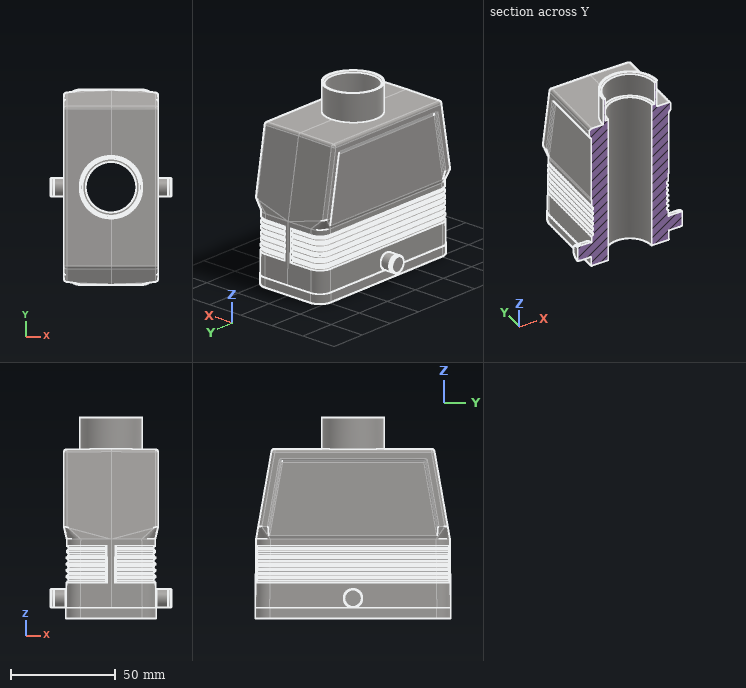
import cadquery as cq
import math

TOLERANCE = 1e-3

RIM_HEIGHT = 5.4
SHOULDER_Z = 38.2
FLARE_HEIGHT = 6.0
FLARE_Z = SHOULDER_Z + FLARE_HEIGHT
BODY_TOP_Z = 81.25
ENTRY_HEIGHT = 15.0

RIM_X = 43.3
RIM_Y = 93.5
RIM_CORNER_RADIUS = 7.0
RIM_CHAMFER = 0.4

RIM_LEDGE = 0.2
SKIRT_BASE_HALF_X = RIM_X / 2 - RIM_LEDGE
SKIRT_BASE_HALF_Y = RIM_Y / 2
SKIRT_TOP_HALF_X = 21.2
SKIRT_TOP_HALF_Y = 46.35
SKIRT_CORNER_RADIUS = 6.7
SKIRT_CROWN = math.radians(0.5)

UPPER_HALF_X = 22.6
END_LEAN = math.tan(math.radians(10.0))
END_CROWN = math.radians(0.25)
TOP_CROWN = math.radians(0.5)
UPPER_EDGE_RADIUS = 1.5

GROOVE_COUNT = 6
GROOVE_PITCH = 3.0
GROOVE_START_Z = 17.4
GROOVE_WIDTH = 2.6
GROOVE_FLANK = 0.9
GROOVE_DEPTH = 0.9
RIB_WIDTH = 3.2
RIB_ROOT_WIDTH = 5.0
RIB_REACH = 3.0

PANEL_DEPTH = 1.0
PANEL_TOP_Z = 76.3
PANEL_TOP_HALF_Y = 34.9
PANEL_CORNER_RADIUS = 0.8
PANEL_BLEND_RADIUS = 1.0

ENTRY_RADIUS = 15.0
ENTRY_SEAT_RADIUS = 13.6
ENTRY_MOUTH_CHAMFER = 0.8
ENTRY_SEAT_DEPTH = 13.3
BORE_RADIUS = 12.0

PIN_SPAN = 58.0
PIN_RADIUS = 4.5
PIN_Z = 9.9
PIN_CHAMFER = 0.4
PIN_GROOVE_SETBACK = 1.4
PIN_GROOVE_WIDTH = 0.4
PIN_GROOVE_DEPTH = 0.1


def crowned_outline(z, half_x, half_y, radius):
    """Rounded rectangle at height z whose ends rise to a shallow ridge at X = 0."""
    center_x = half_x - radius
    center_y = half_y - center_x * math.tan(SKIRT_CROWN) - radius / math.cos(SKIRT_CROWN)
    middle = (math.pi / 2 - SKIRT_CROWN) / 2
    side = (half_x, center_y)
    bend = (center_x + radius * math.cos(middle), center_y + radius * math.sin(middle))
    end = (center_x + radius * math.sin(SKIRT_CROWN), center_y + radius * math.cos(SKIRT_CROWN))

    def at(point, sign_x, sign_y):
        return (sign_x * point[0], sign_y * point[1])

    return (
        cq.Workplane("XY", origin=(0, 0, z))
        .moveTo(*at(side, 1, -1))
        .lineTo(*at(side, 1, 1))
        .threePointArc(at(bend, 1, 1), at(end, 1, 1))
        .lineTo(0, half_y)
        .lineTo(*at(end, -1, 1))
        .threePointArc(at(bend, -1, 1), at(side, -1, 1))
        .lineTo(*at(side, -1, -1))
        .threePointArc(at(bend, -1, -1), at(end, -1, -1))
        .lineTo(0, -half_y)
        .lineTo(*at(end, 1, -1))
        .threePointArc(at(bend, 1, -1), at(side, 1, -1))
        .close()
        .val()
    )


def skirt_outline(z, inset=0.0):
    """Outline of the drafted skirt at height z, moved inward by inset."""
    rise = (z - RIM_HEIGHT) / (SHOULDER_Z - RIM_HEIGHT)
    half_x = SKIRT_BASE_HALF_X + rise * (SKIRT_TOP_HALF_X - SKIRT_BASE_HALF_X)
    half_y = SKIRT_BASE_HALF_Y + rise * (SKIRT_TOP_HALF_Y - SKIRT_BASE_HALF_Y)
    return crowned_outline(z, half_x - inset, half_y - inset, SKIRT_CORNER_RADIUS - inset)


def ruled_loft(outlines):
    return cq.Workplane(cq.Solid.makeLoft(outlines, True))


def upper_half_y(z):
    """Half length of the upper body at the ridge of its leaning ends."""
    return SKIRT_TOP_HALF_Y - (z - SHOULDER_Z) * END_LEAN


def make_rim():
    return (
        cq.Workplane("XY")
        .rect(RIM_X, RIM_Y)
        .extrude(RIM_HEIGHT)
        .edges("|Z")
        .fillet(RIM_CORNER_RADIUS)
        .faces("<Z")
        .edges()
        .chamfer(RIM_CHAMFER)
    )


def make_skirt():
    outlines = [skirt_outline(RIM_HEIGHT)]
    for index in range(GROOVE_COUNT):
        bottom = GROOVE_START_Z + index * GROOVE_PITCH
        top = bottom + GROOVE_WIDTH
        outlines.append(skirt_outline(bottom))
        outlines.append(skirt_outline(bottom + GROOVE_FLANK, GROOVE_DEPTH))
        outlines.append(skirt_outline(top - GROOVE_FLANK, GROOVE_DEPTH))
        outlines.append(skirt_outline(top))
    outlines.append(skirt_outline(SHOULDER_Z))
    return ruled_loft(outlines).union(make_end_ribs())


def make_end_ribs():
    """Upright ribs that fill the grooves in the middle of both ends."""
    smooth_skirt = ruled_loft([skirt_outline(RIM_HEIGHT), skirt_outline(SHOULDER_Z)])
    outer_y = SKIRT_BASE_HALF_Y
    root_y = outer_y - GROOVE_DEPTH
    inner_y = outer_y - RIB_REACH
    groove_end_z = GROOVE_START_Z + (GROOVE_COUNT - 1) * GROOVE_PITCH + GROOVE_WIDTH
    rib = (
        cq.Workplane("XY", origin=(0, 0, GROOVE_START_Z))
        .moveTo(RIB_WIDTH / 2, outer_y)
        .lineTo(RIB_ROOT_WIDTH / 2, root_y)
        .lineTo(RIB_ROOT_WIDTH / 2, inner_y)
        .lineTo(-RIB_ROOT_WIDTH / 2, inner_y)
        .lineTo(-RIB_ROOT_WIDTH / 2, root_y)
        .lineTo(-RIB_WIDTH / 2, outer_y)
        .close()
        .extrude(groove_end_z - GROOVE_START_Z)
    )
    return smooth_skirt.intersect(rib.union(rib.mirror("XZ")))


def make_upper_profile():
    """Front profile of the upper body: V-shaped underside and slightly roofed top, longer than the part."""
    roof_edge_z = BODY_TOP_Z - UPPER_HALF_X * math.tan(TOP_CROWN)
    return (
        cq.Workplane("XZ")
        .moveTo(0, SHOULDER_Z)
        .lineTo(UPPER_HALF_X, FLARE_Z)
        .lineTo(UPPER_HALF_X, roof_edge_z)
        .lineTo(0, BODY_TOP_Z)
        .lineTo(-UPPER_HALF_X, roof_edge_z)
        .lineTo(-UPPER_HALF_X, FLARE_Z)
        .close()
        .extrude(RIM_Y, both=True)
    )


def make_flare():
    """Transition from the rounded skirt to the wider, sharper upper body, below its V-shaped underside.

    The ends of flare and upper body meet at the ridge and at the corners of the V.
    """
    corner_gain = UPPER_HALF_X * (math.tan(SKIRT_CROWN) - math.tan(END_CROWN))
    top_half_y = upper_half_y(FLARE_Z) + corner_gain
    flare = ruled_loft([
        skirt_outline(SHOULDER_Z),
        crowned_outline(FLARE_Z, UPPER_HALF_X, top_half_y, UPPER_EDGE_RADIUS),
    ])
    return flare.cut(make_upper_profile())


def make_upper_body():
    """Leaning-ended block whose underside is a V meeting the shoulder at X = 0."""
    edge_drop = UPPER_HALF_X * math.tan(END_CROWN)

    def sharp_outline(z):
        ridge = upper_half_y(z)
        corner = ridge - edge_drop
        return cq.Wire.makePolygon(
            [
                cq.Vector(UPPER_HALF_X, -corner, z),
                cq.Vector(UPPER_HALF_X, corner, z),
                cq.Vector(0, ridge, z),
                cq.Vector(-UPPER_HALF_X, corner, z),
                cq.Vector(-UPPER_HALF_X, -corner, z),
                cq.Vector(0, -ridge, z),
            ],
            close=True,
        )

    block = ruled_loft([sharp_outline(SHOULDER_Z), sharp_outline(BODY_TOP_Z)])
    block = block.intersect(make_upper_profile())

    def is_outer_edge(edge):
        box = edge.BoundingBox()
        on_ridge = box.xlen < TOLERANCE and abs(edge.Center().x) < TOLERANCE
        return box.zmax > FLARE_Z + TOLERANCE and not on_ridge

    outer_edges = [edge for edge in block.edges().vals() if is_outer_edge(edge)]
    return block.newObject(outer_edges).fillet(UPPER_EDGE_RADIUS)


def panel_outline(x, inset):
    """Panel border in the plane at x; it widens downward with the leaning ends."""
    top_z = PANEL_TOP_Z - inset
    side_inset = inset / math.cos(math.atan(END_LEAN))
    top_y = PANEL_TOP_HALF_Y + inset * END_LEAN - side_inset
    bottom_y = top_y + (top_z - SHOULDER_Z) * END_LEAN
    return cq.Wire.makePolygon(
        [
            cq.Vector(x, -bottom_y, SHOULDER_Z),
            cq.Vector(x, -top_y, top_z),
            cq.Vector(x, top_y, top_z),
            cq.Vector(x, bottom_y, SHOULDER_Z),
        ],
        close=True,
    )


def make_panel_cutter():
    """Solid that sinks the panel of the -X side, with sloping walls that blend into its floor."""
    floor_x = -UPPER_HALF_X + PANEL_DEPTH
    outer_x = -UPPER_HALF_X - PANEL_DEPTH
    cutter = ruled_loft([panel_outline(outer_x, -PANEL_DEPTH), panel_outline(floor_x, PANEL_DEPTH)])

    def is_wall_corner(edge):
        box = edge.BoundingBox()
        return box.xlen > PANEL_DEPTH and box.zmin > FLARE_Z

    corners = [edge for edge in cutter.edges().vals() if is_wall_corner(edge)]
    cutter = cutter.newObject(corners).fillet(PANEL_CORNER_RADIUS)
    floor_border = [edge for edge in cutter.faces(">X").edges().vals() if edge.Center().z > FLARE_Z]
    return cutter.newObject(floor_border).fillet(PANEL_BLEND_RADIUS)


def sink_side_panels(body):
    """Cut both side panels and round the brink of their walls."""
    cutter = make_panel_cutter()
    body = body.cut(cutter).cut(cutter.mirror("YZ"))
    brink_limit_y = upper_half_y(FLARE_Z) - 2 * UPPER_EDGE_RADIUS

    def is_brink(edge):
        box = edge.BoundingBox()
        center = edge.Center()
        on_side = box.xlen < TOLERANCE and abs(abs(center.x) - UPPER_HALF_X) < TOLERANCE
        in_height = FLARE_Z + TOLERANCE < box.zmax < PANEL_TOP_Z + TOLERANCE
        return on_side and in_height and abs(center.y) < brink_limit_y

    brink = [edge for edge in body.edges().vals() if is_brink(edge)]
    return body.newObject(brink).fillet(PANEL_BLEND_RADIUS)


def make_pin():
    """Locking pin along -X with bevelled ends and a shallow ring near its tip."""
    tip_x = -PIN_SPAN / 2
    root_x = -SKIRT_BASE_HALF_X
    seat_x = -SKIRT_TOP_HALF_X
    ring_x = tip_x + PIN_GROOVE_SETBACK
    bevel_radius = PIN_RADIUS - PIN_CHAMFER
    ring_radius = PIN_RADIUS - PIN_GROOVE_DEPTH
    return (
        cq.Workplane("XY", origin=(0, 0, PIN_Z))
        .moveTo(tip_x, 0)
        .lineTo(tip_x, bevel_radius)
        .lineTo(tip_x + PIN_CHAMFER, PIN_RADIUS)
        .lineTo(ring_x, PIN_RADIUS)
        .lineTo(ring_x, ring_radius)
        .lineTo(ring_x + PIN_GROOVE_WIDTH, ring_radius)
        .lineTo(ring_x + PIN_GROOVE_WIDTH, PIN_RADIUS)
        .lineTo(root_x - PIN_CHAMFER, PIN_RADIUS)
        .lineTo(root_x, bevel_radius)
        .lineTo(seat_x, bevel_radius)
        .lineTo(seat_x, 0)
        .close()
        .revolve(axisStart=(0, 0, 0), axisEnd=(1, 0, 0))
    )


def make_entry_tube():
    tube_base_z = BODY_TOP_Z - UPPER_EDGE_RADIUS
    return (
        cq.Workplane("XY", origin=(0, 0, tube_base_z))
        .circle(ENTRY_RADIUS)
        .extrude(BODY_TOP_Z + ENTRY_HEIGHT - tube_base_z)
    )


def make_entry_bore():
    """Through bore widened from the top down to a flat seat, with a chamfered mouth."""
    top_z = BODY_TOP_Z + ENTRY_HEIGHT
    seat_z = top_z - ENTRY_SEAT_DEPTH
    return (
        cq.Workplane("XZ")
        .moveTo(0, 0)
        .lineTo(BORE_RADIUS, 0)
        .lineTo(BORE_RADIUS, seat_z)
        .lineTo(ENTRY_SEAT_RADIUS, seat_z)
        .lineTo(ENTRY_SEAT_RADIUS, top_z - ENTRY_MOUTH_CHAMFER)
        .lineTo(ENTRY_SEAT_RADIUS + ENTRY_MOUTH_CHAMFER, top_z)
        .lineTo(0, top_z)
        .close()
        .revolve(axisStart=(0, 0, 0), axisEnd=(0, 1, 0))
    )


upper = sink_side_panels(make_upper_body().union(make_flare()))
pin = make_pin()
result = (
    upper.union(make_skirt())
    .union(make_rim())
    .union(make_entry_tube())
    .union(pin)
    .union(pin.mirror("YZ"))
    .cut(make_entry_bore())
)